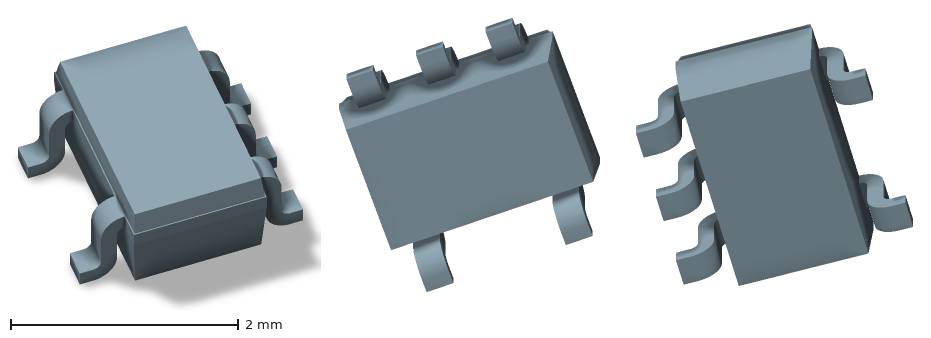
import cadquery as cq

BODY_LENGTH = 2.0
BODY_WIDTH = 1.25
STANDOFF = 0.05
TOTAL_HEIGHT = 0.95
BAND_LEDGE = 0.01
TOP_INSET_X = 0.063
BOTTOM_INSET_X = 0.055
FACE_INSET_Y = 0.032

LEAD_WIDTH = 0.25
LEAD_THICKNESS = 0.15
LEAD_TOP = 0.755
INNER_BEND_RADIUS = 0.075
OUTER_BEND_RADIUS = INNER_BEND_RADIUS + LEAD_THICKNESS
TIP_TO_TIP = 2.1
LEAD_PITCH = 0.65

BAND_BOTTOM = LEAD_TOP - LEAD_THICKNESS
BAND_TOP = 0.75

FRONT_LEAD_COLUMNS = (-1, 1)
BACK_LEAD_COLUMNS = (-1, 0, 1)


def tapered_block(start_z, start_inset, end_z, end_inset):
    """Loft between two rectangles, each inset (x, y) from the band outline."""
    def size(inset):
        return BODY_LENGTH - 2 * inset[0], BODY_WIDTH - 2 * inset[1]

    return (
        cq.Workplane("XY", origin=(0, 0, start_z))
        .rect(*size(start_inset))
        .workplane(offset=end_z - start_z)
        .rect(*size(end_inset))
        .loft(ruled=True)
    )


def make_housing():
    no_inset = (0, 0)
    lower = tapered_block(STANDOFF, (BOTTOM_INSET_X, FACE_INSET_Y), BAND_BOTTOM, no_inset)
    band = tapered_block(BAND_BOTTOM, no_inset, BAND_TOP, no_inset)
    upper = tapered_block(
        BAND_TOP, (BAND_LEDGE, BAND_LEDGE), TOTAL_HEIGHT, (TOP_INSET_X, FACE_INSET_Y)
    )
    return lower.union(band).union(upper)


def make_back_lead(center_x):
    """S-bent strip running from the housing's +Y side down to its foot."""
    root_y = BODY_WIDTH / 2
    tip_y = TIP_TO_TIP / 2
    outer_wall_y = root_y + OUTER_BEND_RADIUS
    inner_wall_y = root_y + INNER_BEND_RADIUS
    upper_bend_z = LEAD_TOP - OUTER_BEND_RADIUS
    lower_bend_z = OUTER_BEND_RADIUS
    lower_bend_y = inner_wall_y + OUTER_BEND_RADIUS
    return (
        cq.Workplane("YZ", origin=(center_x, 0, 0))
        .moveTo(root_y, LEAD_TOP)
        .radiusArc((outer_wall_y, upper_bend_z), OUTER_BEND_RADIUS)
        .lineTo(outer_wall_y, lower_bend_z)
        .radiusArc((lower_bend_y, LEAD_THICKNESS), -INNER_BEND_RADIUS)
        .lineTo(tip_y, LEAD_THICKNESS)
        .lineTo(tip_y, 0)
        .lineTo(lower_bend_y, 0)
        .radiusArc((inner_wall_y, lower_bend_z), OUTER_BEND_RADIUS)
        .lineTo(inner_wall_y, upper_bend_z)
        .radiusArc((root_y, BAND_BOTTOM), -INNER_BEND_RADIUS)
        .close()
        .extrude(LEAD_WIDTH / 2, both=True)
    )


def make_front_lead(center_x):
    return make_back_lead(center_x).mirror("XZ")


housing = make_housing()
back_leads = [make_back_lead(column * LEAD_PITCH) for column in BACK_LEAD_COLUMNS]
front_leads = [make_front_lead(column * LEAD_PITCH) for column in FRONT_LEAD_COLUMNS]

result = cq.Compound.makeCompound(
    [housing.val(), *[lead.val() for lead in back_leads + front_leads]]
)